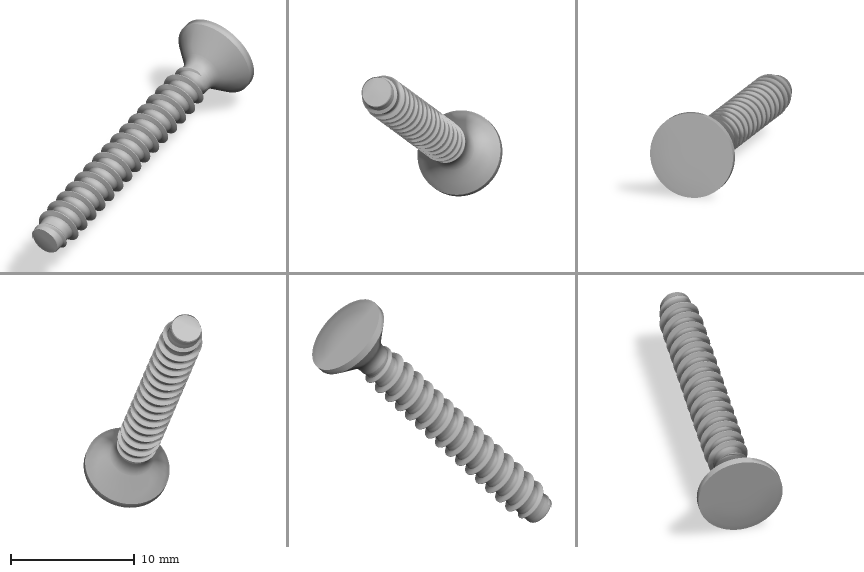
import cadquery as cq
import math


length = 25.0
head_radius = 3.5
rim_height = 0.62
neck_radius = 1.38
neck_fillet = 1.38
neck_end = 3.65
core_radius = 1.25
core_start = 4.12
tip_radius = 1.2
tip_start = 24.85
tip_point_height = 0.05

crest_radius = 1.75
first_full_depth = 4.98
last_full_depth = 23.05
full_turns = 14
pitch = (last_full_depth - first_full_depth) / full_turns
crest_half_width = 0.02
foot_half_width = 0.2
head_side_foot_radius = 1.3
tip_side_foot_radius = 1.32
buried_radius = 1.245
head_side_reach = 0.52
tip_side_reach = 0.75

fade_in_turns = 1.25
fade_in_radius = 1.438
fade_out_turns = 1.3
fade_out_radius = 1.28


def make_shank():
    """Head, neck and plain core as one turned body."""
    diagonal = math.sqrt(0.5)
    cone_end_radius = neck_radius + neck_fillet * (1 - diagonal)
    cone_end = rim_height + head_radius - cone_end_radius
    fillet_end = cone_end + neck_fillet * diagonal
    arc_angle = math.radians(45) / 2
    arc_middle = (
        neck_radius + neck_fillet * (1 - math.cos(arc_angle)),
        fillet_end - neck_fillet * math.sin(arc_angle),
    )
    return (
        cq.Workplane("XZ")
        .lineTo(head_radius, 0)
        .lineTo(head_radius, rim_height)
        .lineTo(cone_end_radius, cone_end)
        .threePointArc(arc_middle, (neck_radius, fillet_end))
        .lineTo(neck_radius, neck_end)
        .lineTo(core_radius, core_start)
        .lineTo(core_radius, tip_start)
        .lineTo(tip_radius, length - tip_point_height)
        .lineTo(0, length)
        .close()
        .revolve(360, (0, 0), (0, 1))
    )


def thread_section(crest):
    """Corners (axial offset, radius) of the thread, its height scaled to reach the crest radius."""
    height_scale = (crest - buried_radius) / (crest_radius - buried_radius)
    full_section = [
        (-head_side_reach, buried_radius),
        (-foot_half_width, head_side_foot_radius),
        (-crest_half_width, crest_radius),
        (crest_half_width, crest_radius),
        (foot_half_width, tip_side_foot_radius),
        (tip_side_reach, buried_radius),
    ]
    return [
        (offset, buried_radius + height_scale * (radius - buried_radius))
        for offset, radius in full_section
    ]


def helix_edge(depth, height, start_radius, end_radius):
    """Right-handed helix whose radius changes evenly along its height."""
    centre = cq.Vector(0, 0, depth)
    if start_radius == end_radius:
        helix = cq.Wire.makeHelix(pitch, height, start_radius, centre)
        return helix.Edges()[0]
    taper = math.atan2(end_radius - start_radius, height)
    slant = 1 / math.cos(taper)
    helix = cq.Wire.makeHelix(
        pitch * slant, height * slant, start_radius, centre, angle=math.degrees(taper)
    )
    return helix.Edges()[0]


def thread_piece(start_turn, turns, start_crest, end_crest):
    """Solid thread ridge; turn zero is the first full crest on the +Y side."""
    depth = first_full_depth + start_turn * pitch
    sections = zip(thread_section(start_crest), thread_section(end_crest))
    edges = [
        helix_edge(depth + start[0], turns * pitch, start[1], end[1])
        for start, end in sections
    ]
    faces = [
        cq.Face.makeRuledSurface(edge, following)
        for edge, following in zip(edges, edges[1:] + edges[:1])
    ]
    for parameter in (0, 1):
        corners = [edge.positionAt(parameter) for edge in edges]
        outline = cq.Wire.makePolygon(corners, close=True)
        faces.append(cq.Face.makeFromWires(outline))
    ridge = cq.Solid.makeSolid(cq.Shell.makeShell(faces))
    return ridge.rotate(cq.Vector(0, 0, 0), cq.Vector(0, 0, 1), 90 + 360 * start_turn)


def make_thread():
    """Run-in, full thread and run-out, trimmed between the neck and the tip."""
    limits = (
        cq.Workplane("XY", origin=(0, 0, neck_end))
        .circle(head_radius)
        .extrude(length - neck_end)
    )
    run_in = thread_piece(-fade_in_turns, fade_in_turns, fade_in_radius, crest_radius)
    full = thread_piece(0, full_turns, crest_radius, crest_radius)
    run_out = thread_piece(full_turns, fade_out_turns, crest_radius, fade_out_radius)
    return [limits.intersect(cq.Workplane(run_in)), full, limits.intersect(cq.Workplane(run_out))]


screw = make_shank()
for ridge in make_thread():
    screw = screw.union(ridge)

result = screw.rotate((0, 0, 0), (1, 0, 0), 90)